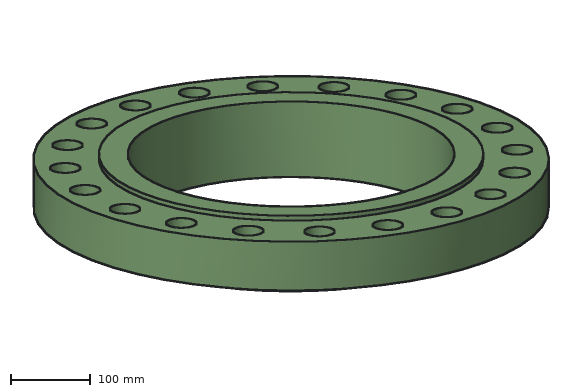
import cadquery as cq

flange_diameter = 648.0
flange_thickness = 65.0
bore_diameter = 410.5

collar_diameter = 483.0
raised_face_height = 6.5
hub_height = 29.0

bolt_count = 20
bolt_hole_diameter = 38.0
bolt_circle_diameter = 572.0
bolt_start_angle = 180.0 / bolt_count

total_height = hub_height + flange_thickness + raised_face_height

collar = cq.Workplane("XY").circle(collar_diameter / 2).extrude(total_height)

flange = (
    cq.Workplane("XY")
    .workplane(offset=hub_height)
    .circle(flange_diameter / 2)
    .extrude(flange_thickness)
)

bore = cq.Workplane("XY").circle(bore_diameter / 2).extrude(total_height)

bolt_holes = (
    cq.Workplane("XY")
    .polarArray(bolt_circle_diameter / 2, bolt_start_angle, 360, bolt_count)
    .circle(bolt_hole_diameter / 2)
    .extrude(total_height)
)

result = flange.union(collar).cut(bore).cut(bolt_holes)